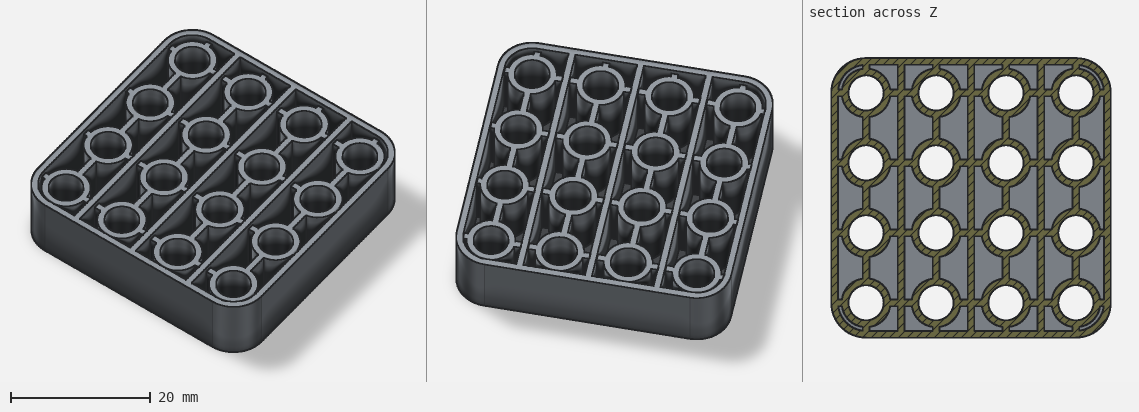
import cadquery as cq

side = 40.0
height = 10.0
corner_radius = 5.0
wall = 1.0
floor_thickness = 1.0

count = 4
pitch = side / count
bore_diameter = 5.0
sleeve_diameter = 7.0
sleeve_recess = 0.8

inner_side = side - 2 * wall
sleeve_height = height - sleeve_recess
centres = [(i - (count - 1) / 2) * pitch for i in range(count)]
divider_places = [(i - count / 2) * pitch for i in range(1, count)]


def rounded_block(width, radius, bottom, top):
    """Square block with rounded vertical edges between two heights."""
    block = cq.Workplane("XY").workplane(offset=bottom).rect(width, width).extrude(top - bottom)
    return block.edges("|Z").fillet(radius)


def upright_plate(x, y, length_x, length_y, top):
    """Vertical plate centred at (x, y), standing on the underside of the block."""
    return cq.Workplane("XY").center(x, y).rect(length_x, length_y).extrude(top)


tray = rounded_block(side, corner_radius, 0, height)
tray = tray.cut(rounded_block(inner_side, corner_radius - wall, floor_thickness, height))

plate_length = side - wall
for x in divider_places:
    tray = tray.union(upright_plate(x, 0, wall, plate_length, height))

for place in centres:
    tray = tray.union(upright_plate(place, 0, wall, plate_length, sleeve_height))
    tray = tray.union(upright_plate(0, place, plate_length, wall, sleeve_height))

grid = [(x, y) for x in centres for y in centres]
sleeves = cq.Workplane("XY").pushPoints(grid).circle(sleeve_diameter / 2).extrude(sleeve_height)
bores = cq.Workplane("XY").pushPoints(grid).circle(bore_diameter / 2).extrude(height)

result = tray.union(sleeves).cut(bores)